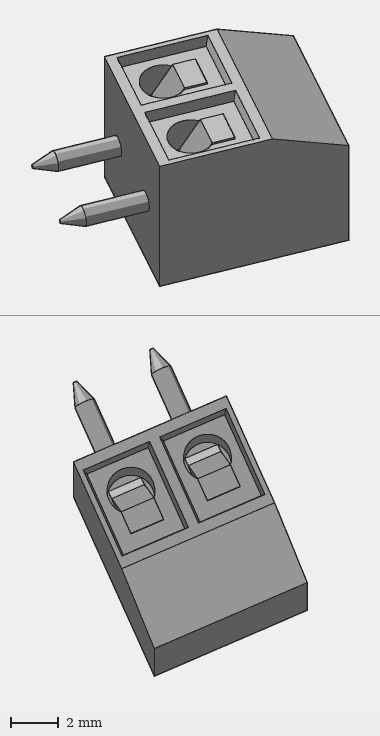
import cadquery as cq
import math

width = 7.0
height = 7.0
overall_length = 12.2
depth = 8.39
roof_length = 5.0
roof_drop = 1.48
poles = 2
pitch = width / poles

pocket_width = 3.04
pocket_length = 4.03
pocket_depth = 0.5
pocket_inset = 0.116
pocket_y = roof_length / 2
pocket_floor = height - pocket_depth

entry_radius = 1.0
entry_depth = 1.6
entry_y = 2.0
entry_floor = pocket_floor - entry_depth

tongue_width = 1.5
tongue_rise = 0.1
tongue_back_y = 3.7
tongue_fold_y = 2.68
tongue_toe_y = 1.71
toe_height = 0.17

pin_radius = 0.45
pin_length = overall_length - depth
pin_tip_length = 1.01
pin_tip_radius = 0.09
pin_z = 3.4


def make_housing():
    return (
        cq.Workplane("YZ")
        .polyline([
            (0, 0),
            (depth, 0),
            (depth, height - roof_drop),
            (roof_length, height),
            (0, height),
        ])
        .close()
        .extrude(width / 2, both=True)
    )


def make_pocket(x):
    lean = math.degrees(math.atan(pocket_inset / pocket_depth))
    return (
        cq.Workplane("XY", origin=(x, pocket_y, height))
        .rect(pocket_width, pocket_length)
        .extrude(-pocket_depth, taper=lean)
    )


def make_entry(x):
    return (
        cq.Workplane("XY", origin=(x, entry_y, entry_floor))
        .circle(entry_radius)
        .extrude(entry_depth)
    )


def make_tongue(x):
    half_width = tongue_width / 2
    toe_end_y = entry_y - math.sqrt(entry_radius**2 - half_width**2)
    tongue_top = pocket_floor + tongue_rise
    return (
        cq.Workplane("YZ", origin=(x, 0, 0))
        .polyline([
            (tongue_back_y, entry_floor),
            (tongue_back_y, tongue_top),
            (tongue_fold_y, tongue_top),
            (tongue_toe_y, entry_floor + toe_height),
            (toe_end_y, entry_floor),
        ])
        .close()
        .extrude(half_width, both=True)
    )


def make_pin(x):
    shank_end = pin_length - pin_tip_length
    return (
        cq.Workplane("XY", origin=(x, 0, pin_z))
        .polyline([
            (0, 0),
            (pin_radius, 0),
            (pin_radius, -shank_end),
            (pin_tip_radius, -pin_length),
            (0, -pin_length),
        ])
        .close()
        .revolve(360, (0, 0, 0), (0, 1, 0))
    )


result = make_housing()
for pole in range(poles):
    pole_x = (pole - (poles - 1) / 2) * pitch
    result = result.cut(make_pocket(pole_x)).cut(make_entry(pole_x))
    result = result.union(make_tongue(pole_x)).union(make_pin(pole_x))